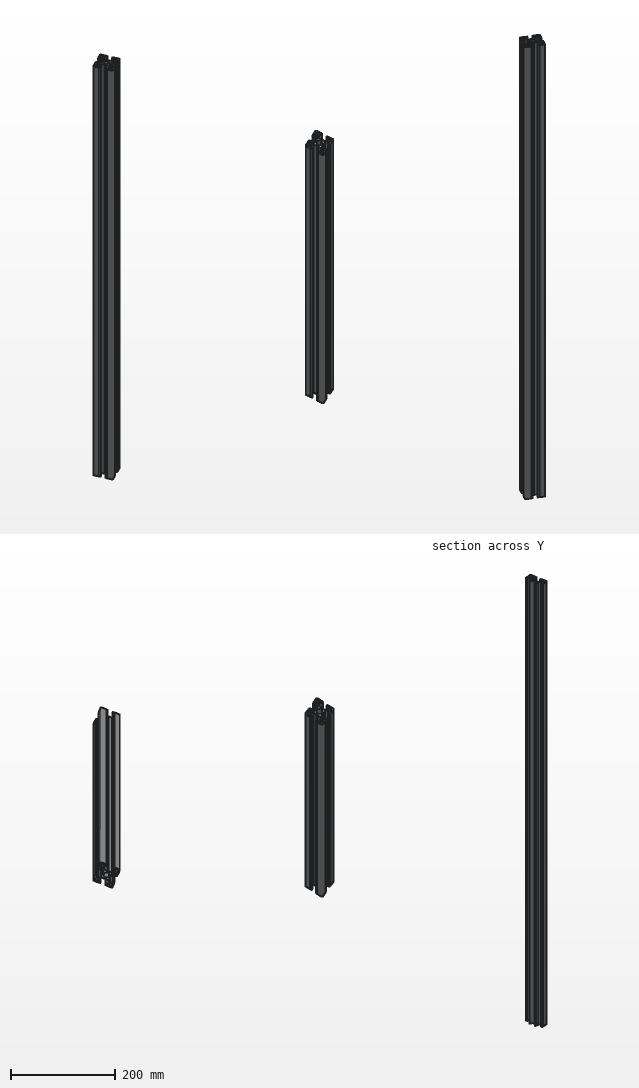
import cadquery as cq

side = 40.0
length = 1000.0
corner_radius = 2.0
face = side / 2

center_bore_diameter = 10.2
corner_bore_diameter = 5.5
corner_bore_offset = 14.25

recess_width = 17.0
recess_depth = 0.5

slot_opening = 10.0
lip_depth = 4.0
cavity_width = 20.5
shoulder_depth = 8.0
slot_depth = 11.5
floor_width = 15.0

groove_width = 2.5
groove_depth = 1.25


def make_bar():
    """Square bar with rounded long edges, standing on Z = 0."""
    bar = cq.Workplane("XY").rect(side, side).extrude(length)
    return bar.edges("|Z").fillet(corner_radius)


def make_bores():
    """Full-length cutters for the central bore and the four corner bores."""
    center = cq.Workplane("XY").circle(center_bore_diameter / 2).extrude(length)
    corners = (
        cq.Workplane("XY")
        .rect(2 * corner_bore_offset, 2 * corner_bore_offset, forConstruction=True)
        .vertices()
        .circle(corner_bore_diameter / 2)
        .extrude(length)
    )
    return center.union(corners)


def make_slot():
    """Full-length cutter for the recess, T-slot and floor groove in the +X face."""
    recess = face - recess_depth
    lip = face - lip_depth
    shoulder = face - shoulder_depth
    floor = face - slot_depth
    groove = floor - groove_depth
    half_profile = [
        (face, recess_width / 2),
        (recess, recess_width / 2),
        (recess, slot_opening / 2),
        (lip, slot_opening / 2),
        (lip, cavity_width / 2),
        (shoulder, cavity_width / 2),
        (floor, floor_width / 2),
        (floor, groove_width / 2),
        (groove, groove_width / 2),
    ]
    mirrored_half = [(x, -y) for x, y in reversed(half_profile)]
    return cq.Workplane("XY").polyline(half_profile + mirrored_half).close().extrude(length)


result = make_bar().cut(make_bores())
slot = make_slot()
for angle in (0, 90, 180, 270):
    result = result.cut(slot.rotate((0, 0, 0), (0, 0, 1), angle))